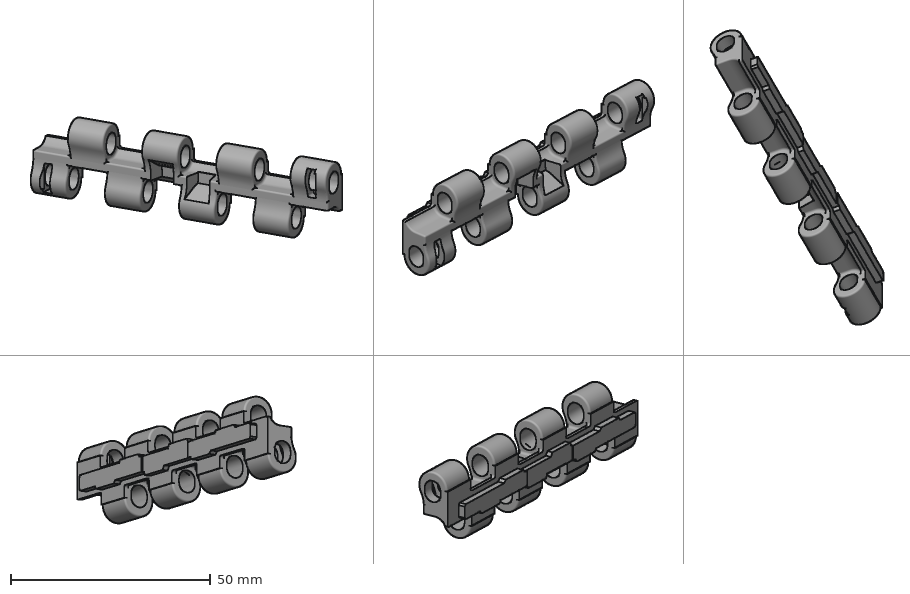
import cadquery as cq
import math

LENGTH = 84.7
PITCH = 21.25
KNUCKLES_PER_SIDE = 4
KNUCKLE_WIDTH = 10.25
HEIGHT = 21.4
KNUCKLE_RADIUS = 4.3

BORE_RADIUS = 2.41
BORE_TOP = 8.34
BORE_BOTTOM = 2.6

WAIST_DEPTH = 1.35
WAIST_HALF_HEIGHT = 0.85

SADDLE_FLOOR = 1.35
SADDLE_RIM = 3.2
SADDLE_RADIUS = 3.4
SADDLE_START = 4.87

EDGE_RADIUS = 0.5
WEB_EDGE_RADIUS = 0.47
FOOT_RADIUS = 0.7

BACK_PLATE_THICKNESS = 0.25

SLOT_LEFT = 3.4
SLOT_WIDTH = 2.4
SLOT_NEAR = 1.6
SLOT_FAR = 9.2
SLOT_CORNER = 0.5
SLOT_FLARE = 0.6
SLOT_FLARE_DEPTH = 1.3

POCKET_LEFT = 43.95
POCKET_RIGHT = 51.1
POCKET_DEPTH = 5.7
POCKET_DRAFT = 1.1
POCKET_SHELF = 1.4
POCKET_SHELF_FRONT = 4.5
POCKET_SHELF_DROP = 0.4
POCKET_WALL_LEAN = 0.2
POCKET_RIM_FLARE = 0.5

BAR_GAP = 0.4
BAR_BACK = 11.2
BAR_MIDDLE_BACK = 10.8
BAR_START = 4.2
BAR_MIDDLE_START = 32.0
BAR_HALF_HEIGHT = 2.0
BAR_END_CHAMFER = 0.5
LOBES_PER_SIDE = 3
MIDDLE_LOBE = 1
LOBE_START = 11.1
LOBE_WIDTH = 9.2
LOBE_TOP = 2.8
MIDDLE_LOBE_TOP = 3.05
LOBE_SLOPE = 0.7

TOLERANCE = 0.001

TOP = HEIGHT / 2
KNUCKLE_Z = TOP - KNUCKLE_RADIUS
KNUCKLE_BACK = 2 * KNUCKLE_RADIUS
BODY_BACK = KNUCKLE_BACK + BACK_PLATE_THICKNESS
BAR_FRONT = BODY_BACK + BAR_GAP

FLANK_Y = KNUCKLE_RADIUS - WAIST_DEPTH
FLANK_Z = KNUCKLE_Z - WAIST_HALF_HEIGHT
FLANK_RADIUS = (FLANK_Y**2 + FLANK_Z**2 - KNUCKLE_RADIUS**2) / (2 * (KNUCKLE_RADIUS - FLANK_Y))
FLANK_CENTRE_Y = WAIST_DEPTH - FLANK_RADIUS
FLANK_ANGLE = math.atan2(FLANK_Z, KNUCKLE_RADIUS - FLANK_CENTRE_Y)
CREASE_Y = FLANK_CENTRE_Y + FLANK_RADIUS * math.cos(FLANK_ANGLE)
CREASE_Z = WAIST_HALF_HEIGHT + FLANK_RADIUS * math.sin(FLANK_ANGLE)

SADDLE_CENTRE_Z = SADDLE_FLOOR + SADDLE_RADIUS
SADDLE_ANGLE = math.acos((SADDLE_CENTRE_Z - SADDLE_RIM) / SADDLE_RADIUS)


def point_on_arc(centre_y, centre_z, radius, angle):
    """Point of a circle in the YZ plane; the angle is measured from +Y."""
    return centre_y + radius * math.cos(angle), centre_z + radius * math.sin(angle)


def turned(shape):
    """Copy turned half a turn about the Y-parallel axis through the part's middle."""
    return shape.rotate((LENGTH / 2, 0, 0), (LENGTH / 2, 1, 0), 180)


def with_turned_copy(shape):
    return shape.union(turned(shape))


def block(x0, x1, y0, y1, z0, z1):
    return cq.Workplane("XY").box(x1 - x0, y1 - y0, z1 - z0, centered=False).translate((x0, y0, z0))


def upper_knuckle(x_start):
    """Round knuckle above Z = 0 with its hollow front flank and rounded ends."""
    return (
        cq.Workplane("YZ", origin=(x_start, 0, 0))
        .moveTo(WAIST_DEPTH, WAIST_HALF_HEIGHT)
        .threePointArc(
            point_on_arc(FLANK_CENTRE_Y, WAIST_HALF_HEIGHT, FLANK_RADIUS, FLANK_ANGLE / 2),
            (CREASE_Y, CREASE_Z),
        )
        .threePointArc((KNUCKLE_RADIUS, TOP), (KNUCKLE_BACK, KNUCKLE_Z))
        .lineTo(BODY_BACK, KNUCKLE_Z)
        .lineTo(BODY_BACK, WAIST_HALF_HEIGHT)
        .close()
        .extrude(KNUCKLE_WIDTH)
        .edges("%CIRCLE")
        .fillet(EDGE_RADIUS)
    )


def upper_web():
    """Upper half of the bar that joins the knuckles, hollowed behind its flat edge."""
    arc_middle = point_on_arc(
        SADDLE_START, SADDLE_CENTRE_Z, SADDLE_RADIUS, SADDLE_ANGLE / 2 - math.pi / 2
    )
    arc_end = point_on_arc(SADDLE_START, SADDLE_CENTRE_Z, SADDLE_RADIUS, SADDLE_ANGLE - math.pi / 2)
    return (
        cq.Workplane("YZ")
        .moveTo(WAIST_DEPTH, 0)
        .lineTo(WAIST_DEPTH, SADDLE_FLOOR)
        .lineTo(SADDLE_START, SADDLE_FLOOR)
        .threePointArc(arc_middle, arc_end)
        .lineTo(BODY_BACK, SADDLE_RIM)
        .lineTo(BODY_BACK, 0)
        .close()
        .extrude(LENGTH)
    )


def web():
    """Full web with its front edges and both of its exposed end outlines rounded."""
    sharp_web = with_turned_copy(upper_web())
    middle_x = LENGTH / 2

    def is_rounded(edge):
        centre = edge.Center()
        if centre.y > BODY_BACK - TOLERANCE:
            return False
        if abs(centre.x - middle_x) < TOLERANCE:
            return centre.y < WAIST_DEPTH + TOLERANCE
        if centre.x < middle_x:
            return centre.z > -TOLERANCE
        return centre.z < TOLERANCE

    rounded_edges = [edge for edge in sharp_web.edges().vals() if is_rounded(edge)]
    return sharp_web.newObject([sharp_web.val().fillet(WEB_EDGE_RADIUS, rounded_edges)])


def upper_foot(x_face, direction):
    """Concave fillet between an upper knuckle's side at x_face and the saddle beside it."""
    length = 2 * FOOT_RADIUS
    space = (
        block(0, length, WAIST_DEPTH + EDGE_RADIUS, BODY_BACK, 0, KNUCKLE_Z)
        .cut(upper_web())
    )
    foot_edges = space.faces("<X").edges("not(|Z or >Z)")
    foot = space.cut(foot_edges.fillet(FOOT_RADIUS))
    if direction < 0:
        foot = foot.mirror("YZ")
    return foot.translate((x_face, 0, 0))


def upper_knuckle_starts():
    return [LENGTH - KNUCKLE_WIDTH - PITCH * i for i in range(KNUCKLES_PER_SIDE)]


def upper_knuckles():
    """All upper knuckles with the fillets at their feet."""
    knuckles = cq.Workplane()
    for x in upper_knuckle_starts():
        knuckles = knuckles.add(upper_knuckle(x)).add(upper_foot(x, -1))
        if x + KNUCKLE_WIDTH < LENGTH:
            knuckles = knuckles.add(upper_foot(x + KNUCKLE_WIDTH, 1))
    return knuckles


def upper_bores():
    """Elongated pin bores through all upper knuckles."""
    return (
        cq.Workplane("YZ")
        .center(KNUCKLE_RADIUS, (BORE_TOP + BORE_BOTTOM) / 2)
        .slot2D(BORE_TOP - BORE_BOTTOM, 2 * BORE_RADIUS, 90)
        .extrude(LENGTH)
    )


def lower_slot():
    """Slot from the front of the first lower knuckle into its bore, flared on its outer side."""
    slot = (
        block(SLOT_LEFT, SLOT_LEFT + SLOT_WIDTH, 0, KNUCKLE_RADIUS, -SLOT_FAR, -SLOT_NEAR)
        .edges("|Y and >Z")
        .fillet(SLOT_CORNER)
    )
    flare = (
        cq.Workplane("XY", origin=(0, 0, -BORE_TOP))
        .polyline([
            (SLOT_LEFT, 0),
            (SLOT_LEFT - SLOT_FLARE, 0),
            (SLOT_LEFT, SLOT_FLARE_DEPTH),
        ])
        .close()
        .extrude(BORE_TOP - BORE_BOTTOM)
    )
    return slot.union(flare)


def lower_pocket():
    """Pocket in a lower knuckle: back wall, shelf and ramp, between drafted side walls."""
    section = (
        cq.Workplane("YZ", origin=(POCKET_LEFT, 0, 0))
        .polyline([
            (0, -CREASE_Z),
            (CREASE_Y, -CREASE_Z),
            (POCKET_SHELF_FRONT, -POCKET_SHELF - POCKET_SHELF_DROP),
            (POCKET_DEPTH, -POCKET_SHELF),
            (POCKET_DEPTH + POCKET_WALL_LEAN, POCKET_SHELF),
            (POCKET_DEPTH + POCKET_WALL_LEAN + POCKET_RIM_FLARE, POCKET_SHELF + POCKET_RIM_FLARE),
            (0, POCKET_SHELF + POCKET_RIM_FLARE),
        ])
        .close()
        .extrude(POCKET_RIGHT - POCKET_LEFT)
    )
    plan = (
        cq.Workplane("XY", origin=(0, 0, -TOP))
        .polyline([
            (POCKET_LEFT, 0),
            (POCKET_RIGHT, 0),
            (POCKET_RIGHT - POCKET_DRAFT, POCKET_DEPTH),
            (POCKET_RIGHT - POCKET_DRAFT, KNUCKLE_BACK),
            (POCKET_LEFT + POCKET_DRAFT, KNUCKLE_BACK),
            (POCKET_LEFT + POCKET_DRAFT, POCKET_DEPTH),
        ])
        .close()
        .extrude(HEIGHT)
    )
    return section.intersect(plan)


def make_housing():
    body = web()
    for piece in upper_knuckles().vals():
        body = body.union(cq.Workplane(piece)).union(cq.Workplane(turned(piece)))
    cuts = upper_bores().union(lower_pocket()).union(lower_slot())
    return body.cut(with_turned_copy(cuts))


def bar_core():
    """Plain bar with chamfered end corners."""
    return (
        block(BAR_START, LENGTH - BAR_START, BAR_FRONT, BAR_BACK, -BAR_HALF_HEIGHT, BAR_HALF_HEIGHT)
        .edges("|Y")
        .chamfer(BAR_END_CHAMFER)
    )


def upper_lobe(x_start, top):
    """Raised lobe on the upper edge of the bar, with sloping flanks."""
    return (
        cq.Workplane("XZ", origin=(0, BAR_BACK, 0))
        .polyline([
            (x_start, 0),
            (x_start, BAR_HALF_HEIGHT),
            (x_start + LOBE_SLOPE, top),
            (x_start + LOBE_WIDTH - LOBE_SLOPE, top),
            (x_start + LOBE_WIDTH, BAR_HALF_HEIGHT),
            (x_start + LOBE_WIDTH, 0),
        ])
        .close()
        .extrude(BAR_BACK - BAR_FRONT)
    )


def bar_with_upper_lobes():
    """Bar with its three upper lobes, the middle one taller."""
    bar_body = bar_core()
    for i in range(LOBES_PER_SIDE):
        top = MIDDLE_LOBE_TOP if i == MIDDLE_LOBE else LOBE_TOP
        bar_body = bar_body.union(upper_lobe(LOBE_START + PITCH * i, top))
    return bar_body


def make_bar():
    """Bar with lobes on both edges and a lower back over its middle stretch."""
    lowered = block(
        BAR_MIDDLE_START, LENGTH - BAR_MIDDLE_START, BAR_MIDDLE_BACK, BAR_BACK, -TOP, TOP
    )
    return with_turned_copy(bar_with_upper_lobes()).cut(lowered)


housing = make_housing()
bar = make_bar()
result = cq.Compound.makeCompound([housing.val(), bar.val()])